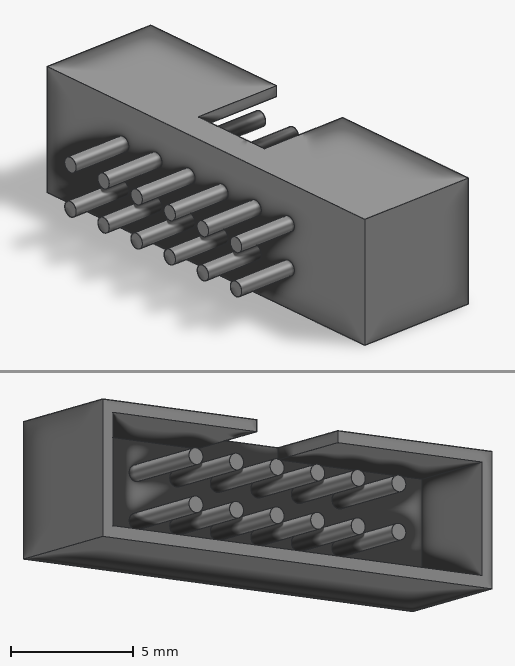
import cadquery as cq

length = 19.2
depth = 5.7
height = 5.7
wall = 0.5

cavity_depth = 4.3
cavity_floor = depth - cavity_depth
notch_width = 4.0

columns = 6
rows = 2
pin_span = 10.0
pitch = pin_span / (columns - 1)
pin_diameter = 0.7
pin_tail = 2.9
pin_length = pin_tail + depth


def box_along_y(width, start, end, tall):
    """Box centred on X and Z that spans Y from start to end."""
    return cq.Workplane("XY").box(width, end - start, tall).translate((0, (start + end) / 2, 0))


def make_housing():
    body = box_along_y(length, 0, depth, height)
    cavity = box_along_y(length - 2 * wall, cavity_floor, depth, height - 2 * wall)
    notch = box_along_y(notch_width, cavity_floor, depth, height / 2).translate((0, 0, height / 4))
    return body.cut(cavity).cut(notch)


def make_pins():
    return (
        cq.Workplane("XZ", origin=(0, depth, 0))
        .rarray(pitch, pitch, columns, rows)
        .circle(pin_diameter / 2)
        .extrude(pin_length)
    )


result = make_housing().union(make_pins())